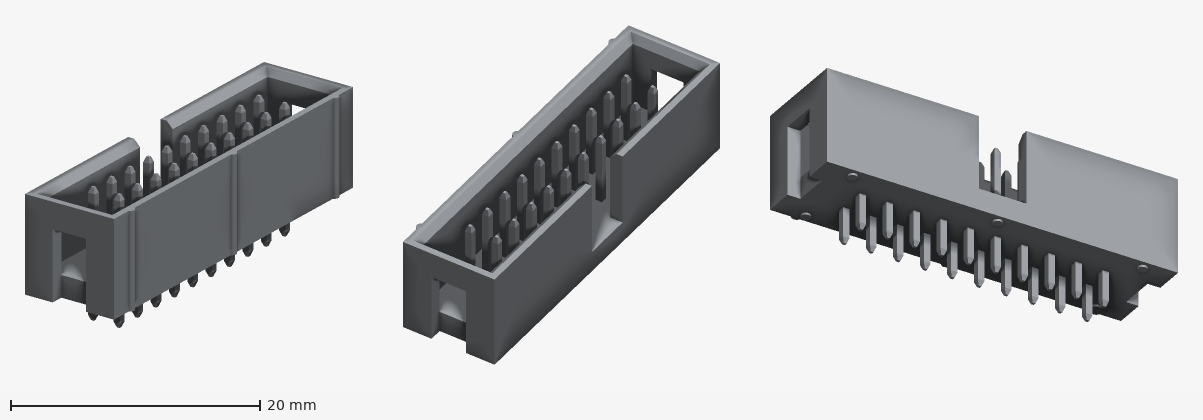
import cadquery as cq

length = 33.05
body_width = 8.8
body_height = 8.8
wall = 1.2
floor_thickness = 2.0
rim_chamfer = 0.6

key_width = 4.5
window_width = 3.3
window_top_margin = 2.4

rib_diameter = 0.85
rib_projection = 0.25
rib_pitch = 14.12

foot_diameter = 0.85
foot_height = 0.2
foot_spacing_x = 7.2
foot_pitch_y = 13.65

pins_per_row = 10
pin_row_length = 22.88
pin_row_spacing = 2.55
pin_size = 0.63
pin_tip_size = 0.25
pin_tip_length = 0.5
pin_below_body = 3.2
pin_top_gap = 0.35

cavity_length = length - 2 * wall
cavity_width = body_width - 2 * wall
pin_pitch = pin_row_length / (pins_per_row - 1)
pin_length = pin_below_body + body_height - pin_top_gap


def base_box(size_x, size_y, size_z, base_z):
    """Box centred on the X and Y axes, with its underside at base_z."""
    return (
        cq.Workplane("XY")
        .workplane(offset=base_z)
        .box(size_x, size_y, size_z, centered=(True, True, False))
    )


def make_housing():
    """Box with a deep cavity whose inner rim is chamfered."""
    cavity_depth = body_height - floor_thickness
    cavity = base_box(cavity_width, cavity_length, cavity_depth, floor_thickness)
    flare = (
        cq.Workplane("XY")
        .workplane(offset=body_height - rim_chamfer)
        .rect(cavity_width, cavity_length)
        .workplane(offset=rim_chamfer)
        .rect(cavity_width + 2 * rim_chamfer, cavity_length + 2 * rim_chamfer)
        .loft(ruled=True)
    )
    return base_box(body_width, length, body_height, 0).cut(cavity).cut(flare)


def make_key_slot():
    """Polarising slot through the -X wall, from the cavity floor to the rim."""
    slot_depth = body_height - floor_thickness
    slot = base_box(wall, key_width, slot_depth, floor_thickness)
    return slot.translate(((wall - body_width) / 2, 0, 0))


def make_end_window(side):
    """Window through an end wall, open at the underside (side is -1 or 1)."""
    window = base_box(window_width, wall, body_height - window_top_margin, 0)
    return window.translate((0, side * (length - wall) / 2, 0))


def make_ribs():
    """Three full-height round ribs, partly sunk into the +X wall."""
    centre_x = body_width / 2 + rib_projection - rib_diameter / 2
    return (
        cq.Workplane("XY")
        .pushPoints([(centre_x, index * rib_pitch) for index in (-1, 0, 1)])
        .circle(rib_diameter / 2)
        .extrude(body_height)
    )


def make_feet():
    """Two rows of three round feet below the housing."""
    return (
        cq.Workplane("XY")
        .rarray(foot_spacing_x, foot_pitch_y, 2, 3)
        .circle(foot_diameter / 2)
        .extrude(-foot_height)
    )


def make_pin():
    """One vertical pin on the Z axis, tapered at both ends."""
    shank_bottom = pin_tip_length - pin_below_body
    shank_length = pin_length - 2 * pin_tip_length
    shank = base_box(pin_size, pin_size, shank_length, shank_bottom)
    for face in (">Z", "<Z"):
        tip = (
            shank.faces(face)
            .workplane()
            .rect(pin_size, pin_size)
            .workplane(offset=pin_tip_length)
            .rect(pin_tip_size, pin_tip_size)
            .loft(ruled=True, combine=False)
        )
        shank = shank.union(tip)
    return shank


def place_pins():
    """Two rows of pins through the cavity floor."""
    pin = make_pin().val()
    return (
        cq.Workplane("XY")
        .rarray(pin_row_spacing, pin_pitch, 2, pins_per_row)
        .eachpoint(lambda location: pin.moved(location), combine=False)
    )


result = make_housing().cut(make_key_slot())
for end_side in (-1, 1):
    result = result.cut(make_end_window(end_side))
result = result.union(make_ribs()).union(make_feet()).union(place_pins())